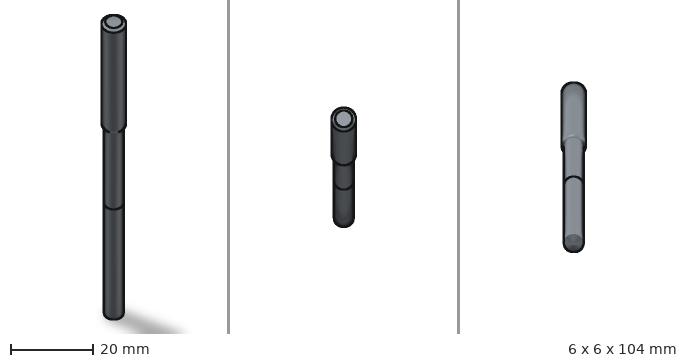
import cadquery as cq
import math

TOTAL_LENGTH = 104.0
SHANK_RADIUS = 6.0 / 2
NECK_RADIUS = 4.9 / 2

SHANK_LENGTH = 37.1
TIP_LENGTH = 40.0
POINT_ANGLE = 140.0

TOP_CHAMFER_WIDTH = 0.9
TOP_CHAMFER_HEIGHT = 0.7
SHOULDER_HEIGHT = 1.2

CORNER_RADIUS = 0.2

BOTTOM_Z = -TOTAL_LENGTH / 2
TOP_Z = BOTTOM_Z + TOTAL_LENGTH
JOINT_Z = BOTTOM_Z + TIP_LENGTH
SHOULDER_Z = TOP_Z - SHANK_LENGTH
POINT_HEIGHT = NECK_RADIUS / math.tan(math.radians(POINT_ANGLE / 2))


def revolve_profile(outline):
    """Revolve a closed (radius, z) outline around the Z axis."""
    return outline.close().revolve(360, (0, 0, 0), (0, 1, 0))


def make_shank():
    """Chamfered shank that narrows through an S-curved shoulder to the neck."""
    outline = (
        cq.Workplane("XZ")
        .moveTo(0, JOINT_Z)
        .lineTo(NECK_RADIUS, JOINT_Z)
        .lineTo(NECK_RADIUS, SHOULDER_Z)
        .spline(
            [(SHANK_RADIUS, SHOULDER_Z + SHOULDER_HEIGHT)],
            tangents=[(0, 1), (0, 1)],
            includeCurrent=True,
        )
        .lineTo(SHANK_RADIUS, TOP_Z - TOP_CHAMFER_HEIGHT)
        .lineTo(SHANK_RADIUS - TOP_CHAMFER_WIDTH, TOP_Z)
        .lineTo(0, TOP_Z)
    )
    return revolve_profile(outline)


def make_tip():
    """Cylindrical cutting tip with a conical point and a rounded corner, butted against the neck."""
    outline = (
        cq.Workplane("XZ")
        .moveTo(0, BOTTOM_Z)
        .lineTo(NECK_RADIUS, BOTTOM_Z + POINT_HEIGHT)
        .lineTo(NECK_RADIUS, JOINT_Z)
        .lineTo(0, JOINT_Z)
    )
    point_edge = revolve_profile(outline).edges("%CIRCLE").edges("<Z")
    return point_edge.fillet(CORNER_RADIUS)


shank = make_shank()
tip = make_tip()
result = cq.Compound.makeCompound([shank.val(), tip.val()])